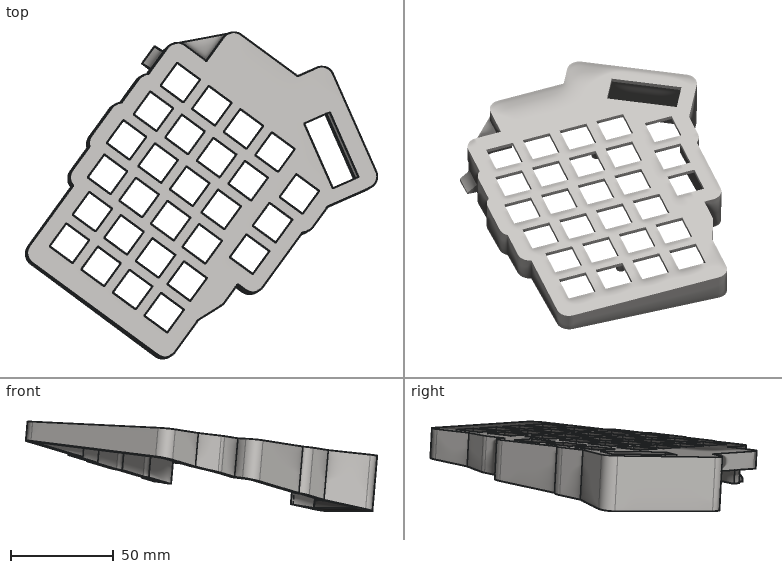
import cadquery as cq
import math


KEY_PITCH = 19.05
KEY_HOLE = 13.85
KEYS_PER_COLUMN = 4
STAGGER_UNIT = 2.375
COLUMN_STAGGER = (0, 1, 2, 1, -1, -1)
THUMB_KEYS = ((-9.45, -78.75), (-28.5, -76.4), (-47.55, -76.4))

BOSS_DIAMETER = 4.8
BOSS_LENGTH = 4.2
BOSSES = ((-85.7, -28.6), (-9.5, -44.2))

PLATE = 2.0
WALL = 4.2
CORNER_R = 6.0
FULL_DEPTH = 60.0

KEY_MARGIN = 9.0
COLUMN_HALF = 8.5
LEFT_X = -107.75
NEAR_LEFT_Y = -69.05
THUMB_NEAR_Y = -85.0
THUMB_LEFT_X = -56.8
FIRST_THUMB_NEAR_Y = -87.55
FIRST_THUMB_LEFT_X = -18.6
SLANT_LEFT_X = -87.2
SLANT_RIGHT = (-74.0, -74.35)

BOX_TURN = -30.0
BOX_INNER_X = 40.0
BOX_OUTER_X = 69.9
BOX_FAR_Y = -20.1
BOX_NEAR_Y = -84.0
BOX_FAR_WALL = 7.7
SLOT_CENTRE = (54.1, -59.75)
SLOT_WIDTH = 13.7
SLOT_LENGTH = 34.4
LEDGE_HEIGHT = 3.6
LEDGE_OVERHANG = 1.6

BAY_LEFT = 10.0
BAY_RIGHT = 36.4
BAY_FAR = -4.1
BAY_DEPTH = 8.6
BAY_END = (39.4, -54.8)
BAY_NOTCH_Y = -43.9
BAY_SIDE_START = (35.5, -43.3)
GUSSET_THICKNESS = 2.0
GUSSET_INSET = 2.0

LUG_LEFT = -2.0
LUG_RIGHT = 8.4
LUG_REACH = 4.9
LUG_ROOT_Z = -13.0
LUG_TIP_Z = -16.8

YAW = 53.85
TOP_TILT = 5.74
TOP_FALL = 30.95
BASE_TILT = 11.48
BASE_FALL = YAW + BOX_TURN
BASE_DROP = 19.35
TRIM_SIZE = 600.0


def column_x(column):
    return -column * KEY_PITCH


def column_y(column):
    return COLUMN_STAGGER[column] * STAGGER_UNIT


FAR_CORE_Y = column_y(0) + KEY_MARGIN
FAR_WALL_Y = FAR_CORE_Y + CORNER_R
BAY_CORE = (BAY_RIGHT - CORNER_R, BAY_FAR - CORNER_R)
LEDGE_X = SLOT_CENTRE[0] + SLOT_WIDTH / 2


def prism(points, top, bottom):
    outline = cq.Workplane("XY").workplane(offset=bottom).polyline(points).close()
    return outline.extrude(top - bottom)


def turn_box(shape):
    return shape.rotate((0, 0, 0), (0, 0, 1), BOX_TURN)


def box_prism(x_min, x_max, y_min, y_max, top, bottom):
    """Rectangular prism in the turned axes of the thumb box."""
    corners = [(x_min, y_min), (x_max, y_min), (x_max, y_max), (x_min, y_max)]
    return turn_box(prism(corners, top, bottom))


def tilt(shape, fall, angle):
    direction = math.radians(fall + 90)
    return shape.rotate((0, 0, 0), (math.cos(direction), math.sin(direction), 0), angle)


def place(shape):
    """Moves a shape from the flat case into its tented attitude."""
    return tilt(shape.rotate((0, 0, 0), (0, 0, 1), YAW), TOP_FALL, TOP_TILT)


def place_on_base(shape):
    """Moves a shape built on z = 0 onto the base plane."""
    yawed = shape.rotate((0, 0, 0), (0, 0, 1), YAW)
    return tilt(yawed, BASE_FALL, BASE_TILT).translate((0, 0, -BASE_DROP))


def far_core_points():
    """Steps of the far side, from the left corner to the controller bay."""
    points = [(LEFT_X, column_y(len(COLUMN_STAGGER) - 1) + KEY_MARGIN)]
    for column in (3, 2, 1):
        y = column_y(column) + KEY_MARGIN
        left_neighbour_is_lower = COLUMN_STAGGER[column] > COLUMN_STAGGER[column + 1]
        if left_neighbour_is_lower:
            step_x = column_x(column) - COLUMN_HALF
            points.append((step_x, column_y(column + 1) + KEY_MARGIN))
            points.append((step_x, y))
        right_neighbour_is_lower = COLUMN_STAGGER[column] > COLUMN_STAGGER[column - 1]
        if right_neighbour_is_lower:
            step_x = column_x(column) + COLUMN_HALF
            points.append((step_x, y))
            points.append((step_x, column_y(column - 1) + KEY_MARGIN))
    points.append((BAY_LEFT, FAR_CORE_Y))
    return points


def make_core():
    """Thin slab whose corners are the rounding centres of the outline."""
    inside_box_x = -2.0
    bay_core_x, bay_core_y = BAY_CORE
    points = far_core_points() + [
        (BAY_LEFT, bay_core_y),
        BAY_CORE,
        (bay_core_x, BAY_END[1]),
        (inside_box_x, BAY_END[1]),
        (inside_box_x, FIRST_THUMB_NEAR_Y),
        (FIRST_THUMB_LEFT_X, FIRST_THUMB_NEAR_Y),
        (FIRST_THUMB_LEFT_X, THUMB_NEAR_Y),
        (THUMB_LEFT_X, THUMB_NEAR_Y),
        (THUMB_LEFT_X, SLANT_RIGHT[1]),
        SLANT_RIGHT,
        (SLANT_LEFT_X, NEAR_LEFT_Y),
        (LEFT_X, NEAR_LEFT_Y),
    ]
    thumb_box = box_prism(
        BOX_INNER_X, BOX_OUTER_X - CORNER_R, BOX_NEAR_Y + CORNER_R, BOX_FAR_Y - CORNER_R, 1, 0
    )
    return prism(points, 1, 0).union(thumb_box).clean()


CORE_WIRE = make_core().faces("<Z").wires().val()


def grown_outline(distance, top, bottom):
    """Prism over the core grown by a distance, with rounded outer corners."""
    wire = CORE_WIRE.offset2D(distance, "arc")[0]
    prism_at_zero = cq.Workplane("XY").add(wire).toPending().extrude(top - bottom)
    return prism_at_zero.translate((0, 0, bottom))


def make_shell(outer):
    shell = outer.cut(grown_outline(CORNER_R - WALL, -PLATE, -FULL_DEPTH))
    far_wall = box_prism(
        LEDGE_X, BOX_OUTER_X, BOX_FAR_Y - BOX_FAR_WALL, BOX_FAR_Y, 0, -FULL_DEPTH
    )
    notch_fill = prism(
        [BAY_SIDE_START, BAY_END, (BAY_END[0] + BOX_FAR_WALL, BAY_NOTCH_Y)], 0, -FULL_DEPTH
    )
    return shell.union(far_wall.union(notch_fill).intersect(outer))


def make_bay_opening():
    far_y = FAR_WALL_Y + CORNER_R
    points = [
        (BAY_LEFT, far_y),
        (BAY_RIGHT, far_y),
        (BAY_RIGHT, BAY_NOTCH_Y),
        BAY_SIDE_START,
        BAY_END,
        (BAY_LEFT, BAY_END[1]),
    ]
    return prism(points, -BAY_DEPTH, -FULL_DEPTH)


def make_gusset():
    """Shelf across the inner corner between the far wall and the bay, tangent to both roundings."""
    start = (BAY_LEFT, FAR_CORE_Y)
    dx = BAY_CORE[0] - start[0]
    dy = BAY_CORE[1] - start[1]
    scale = CORNER_R / math.hypot(dx, dy)
    out_x = -dy * scale
    out_y = dx * scale
    points = [
        start,
        (start[0] + out_x, start[1] + out_y),
        (BAY_CORE[0] + out_x, BAY_CORE[1] + out_y),
        BAY_CORE,
        (BAY_LEFT + CORNER_R - GUSSET_INSET, BAY_FAR - GUSSET_INSET),
    ]
    return prism(points, GUSSET_THICKNESS - BAY_DEPTH, -BAY_DEPTH)


def make_key_holes():
    centres = list(THUMB_KEYS)
    for column in range(len(COLUMN_STAGGER)):
        for row in range(KEYS_PER_COLUMN):
            centres.append((column_x(column), column_y(column) - row * KEY_PITCH))
    return cq.Workplane("XY").pushPoints(centres).rect(KEY_HOLE, KEY_HOLE).extrude(-PLATE)


def make_bosses():
    plate_underside = cq.Workplane("XY").workplane(offset=-PLATE)
    return plate_underside.pushPoints(BOSSES).circle(BOSS_DIAMETER / 2).extrude(-BOSS_LENGTH)


def make_slot():
    x, y = SLOT_CENTRE
    half_width = SLOT_WIDTH / 2
    half_length = SLOT_LENGTH / 2
    return box_prism(
        x - half_width, x + half_width, y - half_length, y + half_length, 0, -FULL_DEPTH
    )


def make_lug():
    root_y = FAR_WALL_Y - WALL
    tip_y = FAR_WALL_Y + LUG_REACH
    profile = cq.Workplane("YZ").workplane(offset=LUG_LEFT).polyline([
        (root_y, LUG_ROOT_Z),
        (FAR_WALL_Y, LUG_ROOT_Z),
        (tip_y, LUG_TIP_Z),
        (tip_y, -FULL_DEPTH),
        (root_y, -FULL_DEPTH),
    ])
    return profile.close().extrude(LUG_RIGHT - LUG_LEFT)


def make_ledge(outer, bay_opening):
    """Inward foot of the outer box wall, square to the base plane and reaching just past the slot."""
    strip = place_on_base(
        box_prism(LEDGE_X - LEDGE_OVERHANG, BOX_OUTER_X, BOX_NEAR_Y, BOX_FAR_Y, LEDGE_HEIGHT, 0)
    )
    return strip.intersect(place(outer.cut(bay_opening)))


def make_base_trim():
    half = TRIM_SIZE / 2
    corners = [(-half, -half), (half, -half), (half, half), (-half, half)]
    return place_on_base(prism(corners, 0, -half))


outer = grown_outline(CORNER_R, 0, -FULL_DEPTH)
bay_opening = make_bay_opening()
body = make_shell(outer).cut(bay_opening).union(make_gusset()).union(make_lug())
body = body.union(make_bosses()).cut(make_key_holes()).cut(make_slot())
result = place(body).union(make_ledge(outer, bay_opening)).cut(make_base_trim())